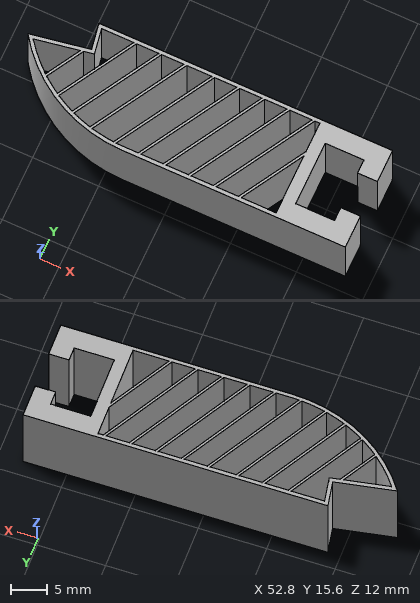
import cadquery as cq
import math

length = 52.8
width = 15.6
height = 12.0

curve_end_x = 18.95
notch_x = 8.9
notch_y = 11.65
notch_tilt = 10.0
tip_y = notch_y - notch_x * math.tan(math.radians(notch_tilt))
curve_radius = (curve_end_x**2 + tip_y**2) / (2 * tip_y)

wall = 0.6
cavity_end_x = 42.05

slot_start_x = 43.95
slot_lip_x = 49.8
slot_width = 9.7
mouth_width = 5.55

rib_angle = 60.0
rib_thickness = 0.35
rib_pitch = 3.8
nose_rib_x = 1.9
nose_rib_count = 4
body_rib_x = 17.55
body_rib_count = 6


def block(x_start, x_end, y_size):
    """Full-height block centred across the width."""
    return (
        cq.Workplane("XY")
        .box(x_end - x_start, y_size, height, centered=(False, True, False))
        .translate((x_start, width / 2, 0))
    )


def rounded_bar(inset, x_end):
    """Bar with a quarter-round nose and flat sides, moved inward by inset."""
    radius = curve_radius - inset
    nose_x = curve_end_x - radius
    diagonal = radius * math.sqrt(0.5)
    bar = (
        cq.Workplane("XY")
        .moveTo(nose_x, curve_radius)
        .threePointArc((curve_end_x - diagonal, curve_radius - diagonal), (curve_end_x, inset))
        .lineTo(x_end, inset)
        .lineTo(x_end, curve_radius)
        .close()
        .extrude(height)
    )
    return bar.intersect(block(nose_x, x_end, width - 2 * inset))


def nose_shape(inset, x_end):
    """Rounded bar with the notch removed; the notch grows by inset."""
    notch_size = 2 * width
    notch = (
        cq.Workplane("XY")
        .box(notch_size, notch_size, height, centered=False)
        .translate((inset - notch_size, -inset, 0))
        .rotate((0, 0, 0), (0, 0, 1), notch_tilt)
        .translate((notch_x, notch_y, 0))
    )
    return rounded_bar(inset, x_end).cut(notch)


def make_rib(floor_x, top_y):
    """Slanted rib from below the floor up to top_y, to be trimmed to the cavity."""
    rise = (top_y - wall) / math.sin(math.radians(rib_angle))
    return (
        cq.Workplane("XY")
        .box(rise + width, rib_thickness, height, centered=(False, True, False))
        .translate((-width, 0, 0))
        .rotate((0, 0, 0), (0, 0, 1), rib_angle)
        .translate((floor_x, wall, 0))
    )


nose_ribs = [nose_rib_x + i * rib_pitch for i in range(nose_rib_count)]
body_ribs = [body_rib_x + i * rib_pitch for i in range(body_rib_count)]

openings = nose_shape(wall, cavity_end_x)
openings = openings.cut(make_rib(nose_ribs[0], notch_y))
for rib_x in nose_ribs[1:] + body_ribs:
    openings = openings.cut(make_rib(rib_x, 2 * width))

body = nose_shape(0, length).cut(openings)

body = body.cut(block(slot_start_x, slot_lip_x, slot_width))
result = body.cut(block(slot_lip_x, length, mouth_width))